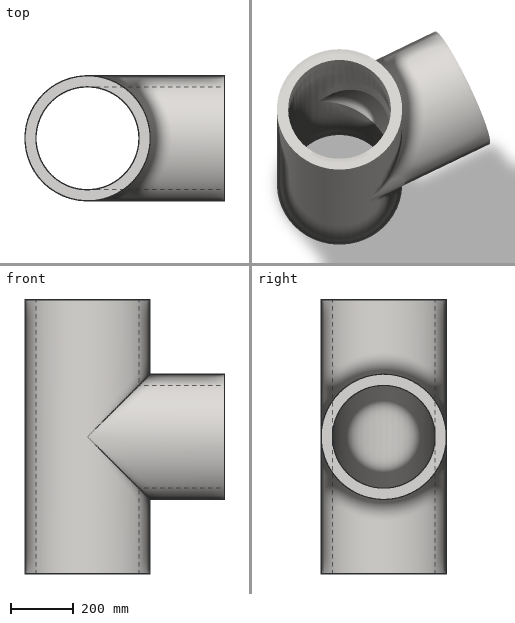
import cadquery as cq

run_length = 877.0
outer_diameter = 401.0
wall_thickness = 36.0
inner_diameter = outer_diameter - 2 * wall_thickness
branch_reach = run_length / 2


def tee_body(diameter):
    """Run and branch cylinders of one diameter, meeting at the origin."""
    radius = diameter / 2
    run = cq.Workplane("XY").circle(radius).extrude(run_length / 2, both=True)
    branch = cq.Workplane("YZ").circle(radius).extrude(branch_reach)
    return run.union(branch)


result = tee_body(outer_diameter).cut(tee_body(inner_diameter))